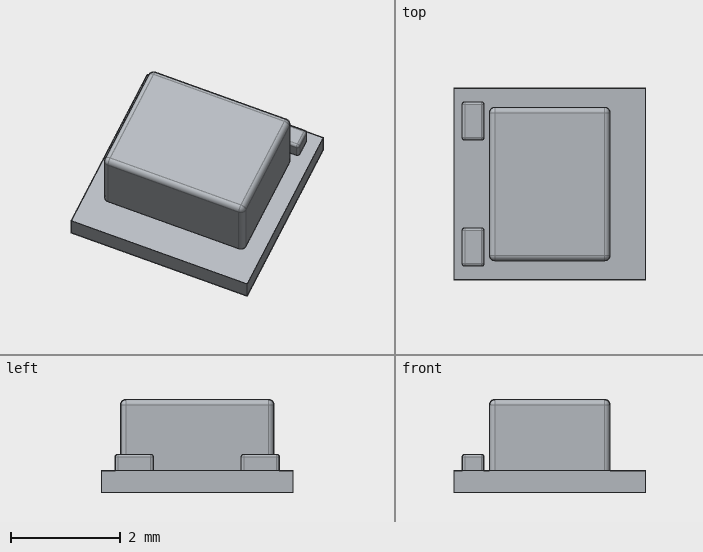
import cadquery as cq

board_side = 3.5
board_thickness = 0.4

block_width = 2.2
block_length = 2.8
block_height = 1.3
block_edge_radius = 0.1

chip_width = 0.4
chip_length = 0.7
chip_height = 0.3
chip_edge_radius = 0.05
chip_side_margin = 0.15
chip_end_margin = 0.25
chip_x = -board_side / 2 + chip_side_margin + chip_width / 2
chip_y = board_side / 2 - chip_end_margin - chip_length / 2


def make_board():
    return cq.Workplane("XY").box(
        board_side, board_side, board_thickness, centered=(True, True, False)
    )


def make_rounded_box(width, length, height, radius):
    """Box standing on the board, with its upright and top edges rounded."""
    return (
        cq.Workplane("XY", origin=(0, 0, board_thickness))
        .box(width, length, height, centered=(True, True, False))
        .edges("|Z or >Z")
        .fillet(radius)
    )


def make_block():
    return make_rounded_box(block_width, block_length, block_height, block_edge_radius)


def make_chip(y_position):
    chip = make_rounded_box(chip_width, chip_length, chip_height, chip_edge_radius)
    return chip.translate((chip_x, y_position, 0))


board = make_board()
block = make_block()
chips = [make_chip(y_position) for y_position in (-chip_y, chip_y)]

result = cq.Compound.makeCompound(
    [board.val(), block.val(), *[chip.val() for chip in chips]]
)